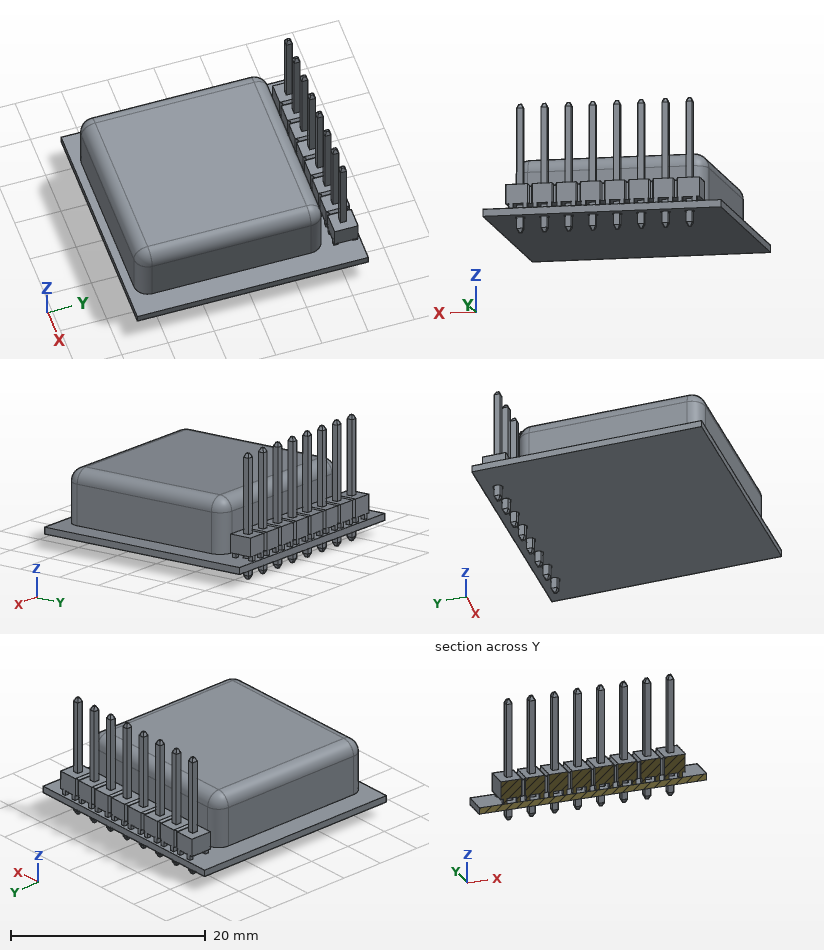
import cadquery as cq

board_size = 25.0
board_thickness = 0.75
pin_hole_diameter = 1.0

cover_size = 20.2
cover_height = 5.95
cover_radius = 1.5
cover_front_margin = 0.9

pin_count = 8
header_length = 20.32
header_depth = 2.55
header_height = 2.02
header_back_distance = 1.6
pitch = header_length / pin_count

groove_width = 0.5
groove_depth = groove_width / 2
notch_floor_width = groove_width / 2
notch_depth = 0.28

foot_size = 0.45
foot_height = 0.52
foot_spacing = 1.5

pin_width = 0.65
pin_tip_width = 0.25
pin_tip_height = 0.42
pin_length = 13.45
pin_below_board = 1.58

pin_row_y = board_size / 2 - header_back_distance
pin_bottom_z = -board_thickness - pin_below_board
header_top_z = foot_height + header_height
pin_xs = [(i - (pin_count - 1) / 2) * pitch for i in range(pin_count)]
groove_xs = [x + pitch / 2 for x in pin_xs[:-1]]


def make_board():
    """Square plate with one clearance hole per pin."""
    plate = cq.Workplane("XY").workplane(offset=-board_thickness).rect(board_size, board_size)
    plate = plate.extrude(board_thickness)
    holes = [(x, pin_row_y) for x in pin_xs]
    return plate.faces(">Z").workplane(origin=(0, 0, 0)).pushPoints(holes).hole(pin_hole_diameter)


def make_cover():
    """Square block with rounded upright edges and a rounded top rim."""
    center_y = -board_size / 2 + cover_front_margin + cover_size / 2
    block = cq.Workplane("XY").center(0, center_y).rect(cover_size, cover_size).extrude(cover_height)
    return block.edges("|Z or >Z").fillet(cover_radius)


def make_strip():
    """Insulating strip with a V groove and two side notches between neighbouring pins."""
    strip = (
        cq.Workplane("XY", origin=(0, pin_row_y, foot_height))
        .rect(header_length, header_depth)
        .extrude(header_height)
    )
    for x in groove_xs:
        strip = strip.cut(make_top_groove(x)).cut(make_side_notches(x))
    return strip


def make_top_groove(x):
    """Triangular bar that cuts the V groove across the top of the strip."""
    return (
        cq.Workplane("XZ", origin=(x, pin_row_y, header_top_z))
        .polyline([(-groove_width / 2, 0), (groove_width / 2, 0), (0, -groove_depth)])
        .close()
        .extrude(header_depth / 2, both=True)
    )


def make_side_notches(x):
    """Two full-height tapered bars that notch the long sides of the strip."""
    mouth_y = header_depth / 2
    floor_y = mouth_y - notch_depth
    back_notch = (
        cq.Workplane("XY", origin=(x, pin_row_y, foot_height))
        .moveTo(-groove_width / 2, mouth_y)
        .lineTo(groove_width / 2, mouth_y)
        .lineTo(notch_floor_width / 2, floor_y)
        .lineTo(-notch_floor_width / 2, floor_y)
        .close()
        .extrude(header_height)
    )
    front_notch = back_notch.mirror("XZ", (x, pin_row_y, 0))
    return back_notch.union(front_notch)


def make_feet(x):
    """Four square feet under the block of one pin, flush with the long sides."""
    return (
        cq.Workplane("XY", origin=(x, pin_row_y, 0))
        .rect(foot_spacing, header_depth - foot_size, forConstruction=True)
        .vertices()
        .rect(foot_size, foot_size)
        .extrude(foot_height)
    )


def make_tip(x, z, direction):
    """Tapered pin end that starts at height z and points up (1) or down (-1)."""
    return (
        cq.Workplane("XY", origin=(x, pin_row_y, z))
        .rect(pin_width, pin_width)
        .workplane(offset=direction * pin_tip_height)
        .rect(pin_tip_width, pin_tip_width)
        .loft(ruled=True)
    )


def make_pin(x):
    """Square pin with a tapered tip at both ends."""
    shank_bottom_z = pin_bottom_z + pin_tip_height
    shank_length = pin_length - 2 * pin_tip_height
    shank = (
        cq.Workplane("XY", origin=(x, pin_row_y, shank_bottom_z))
        .rect(pin_width, pin_width)
        .extrude(shank_length)
    )
    lower_tip = make_tip(x, shank_bottom_z, -1)
    upper_tip = make_tip(x, shank_bottom_z + shank_length, 1)
    return shank.union(lower_tip).union(upper_tip)


def make_header():
    """Strip, feet and pins moulded together as one body."""
    header = make_strip()
    for x in pin_xs:
        header = header.union(make_feet(x)).union(make_pin(x))
    return header


board = make_board()
cover = make_cover()
header = make_header()

result = cq.Compound.makeCompound([body.solids().val() for body in (board, cover, header)])